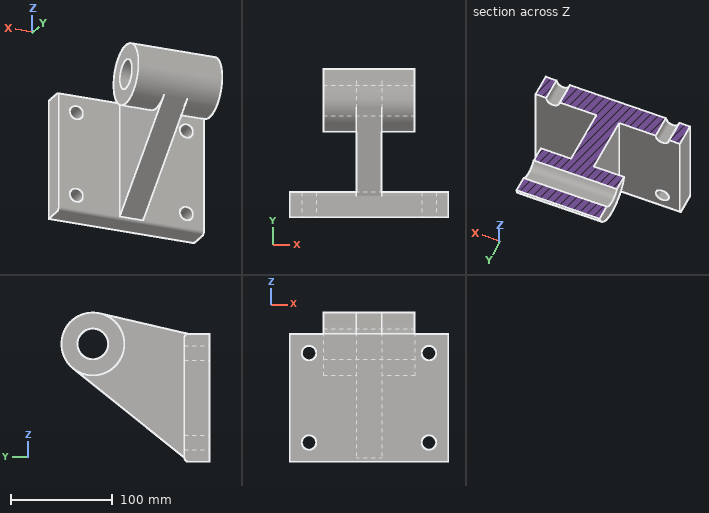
import cadquery as cq
import math

PLATE_WIDTH = 156.0
PLATE_HEIGHT = 126.0
PLATE_THICKNESS = 25.0
EDGE_RADIUS = 4.0

MOUNT_HOLE_DIAMETER = 14.0
MOUNT_HOLE_INSET = 19.0

OVERALL_DEPTH = 146.0
OVERALL_HEIGHT = 147.0
BARREL_DIAMETER = 62.0
BARREL_LENGTH = 90.0
BORE_DIAMETER = 30.0
BARREL_RADIUS = BARREL_DIAMETER / 2
BARREL_Y = OVERALL_DEPTH - BARREL_RADIUS
BARREL_Z = OVERALL_HEIGHT - BARREL_RADIUS

WEB_THICKNESS = 25.0


def tangent_point(start, side):
    """Point where a line from start touches the barrel: side +1 above, -1 below."""
    to_start_y = start[0] - BARREL_Y
    to_start_z = start[1] - BARREL_Z
    distance = math.hypot(to_start_y, to_start_z)
    direction = math.atan2(to_start_z, to_start_y)
    angle = direction - side * math.acos(BARREL_RADIUS / distance)
    return (
        BARREL_Y + BARREL_RADIUS * math.cos(angle),
        BARREL_Z + BARREL_RADIUS * math.sin(angle),
    )


def make_plate():
    plate = cq.Workplane("XY").box(
        PLATE_WIDTH, PLATE_THICKNESS, PLATE_HEIGHT, centered=(True, False, False)
    )
    return plate.faces(">Y").edges("|X").fillet(EDGE_RADIUS)


def make_barrel_cylinder(diameter):
    """Cylinder on the barrel axis, as long as the barrel."""
    section = cq.Workplane("YZ").center(BARREL_Y, BARREL_Z).circle(diameter / 2)
    return section.extrude(BARREL_LENGTH / 2, both=True)


def make_web():
    """Web whose sloping faces run from the rounded plate edges tangent to the barrel."""
    upper_start = (PLATE_THICKNESS - EDGE_RADIUS, PLATE_HEIGHT)
    lower_start = (PLATE_THICKNESS, EDGE_RADIUS)
    outline = (
        cq.Workplane("YZ")
        .moveTo(*upper_start)
        .lineTo(*tangent_point(upper_start, 1))
        .lineTo(BARREL_Y, BARREL_Z)
        .lineTo(*tangent_point(lower_start, -1))
        .lineTo(*lower_start)
        .lineTo(PLATE_THICKNESS - EDGE_RADIUS, EDGE_RADIUS)
        .close()
    )
    return outline.extrude(WEB_THICKNESS / 2, both=True)


def make_mount_holes():
    spacing_x = PLATE_WIDTH - 2 * MOUNT_HOLE_INSET
    spacing_z = PLATE_HEIGHT - 2 * MOUNT_HOLE_INSET
    return (
        cq.Workplane("XZ")
        .center(0, PLATE_HEIGHT / 2)
        .rect(spacing_x, spacing_z, forConstruction=True)
        .vertices()
        .circle(MOUNT_HOLE_DIAMETER / 2)
        .extrude(-PLATE_THICKNESS)
    )


barrel = make_barrel_cylinder(BARREL_DIAMETER)
bore = make_barrel_cylinder(BORE_DIAMETER)
bracket = make_plate().union(barrel).union(make_web())
result = bracket.cut(make_mount_holes()).cut(bore)